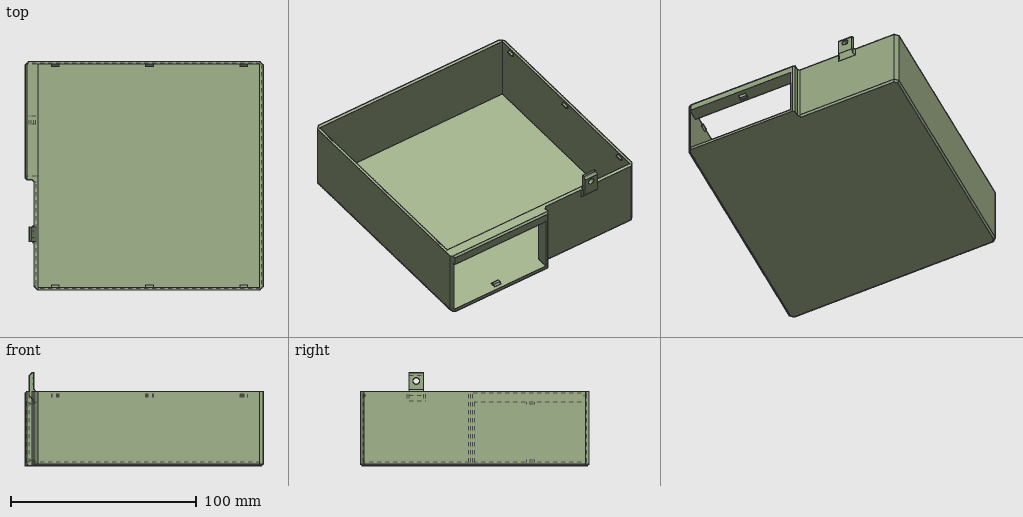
import cadquery as cq

length = 128.2
width = 123.2
tab_top = 50.1
box_height = 40.1

side_wall = 2.0
end_wall = 1.5
floor = 2.0
corner_chamfer = 2.0
edge_chamfer = 1.0

block_depth = 4.7
block_width = 63.8
opening_width = 60.1
opening_top = 34.4

ridge_length = 4.1
ridge_height = 1.2
wall_ridge_base = 1.8
wall_ridge_crest = 0.4
wall_ridge_drop = 2.3
opening_ridge_base = 3.3
opening_ridge_crest = 1.5
opening_ridge_x = 3.8
first_ridge_x = 16.2
ridge_pitch = 50.8
ridges_per_wall = 3

tab_width = 8.0
tab_thickness = 2.5
tab_y = 30.1
tab_overlap = 2.3
tab_slope_drop = 3.0
tab_lip_height = 0.5
tab_lip_depth = 0.4
tab_hole_diameter = 3.5
tab_hole_height = 5.5

inner_left = block_depth + side_wall
block_front = width - block_width
opening_back = width - end_wall
opening_y = opening_back - opening_width / 2
overlap = 0.6


def box(x0, x1, y0, y1, z0, z1):
    """Axis-aligned box between two corners."""
    return cq.Workplane("XY").box(x1 - x0, y1 - y0, z1 - z0, centered=False).translate((x0, y0, z0))


def make_body():
    """Main block with broken vertical corners and broken bottom edges."""
    body = box(block_depth, length, 0, width, 0, box_height)
    return body.edges("|Z").chamfer(corner_chamfer).faces("<Z").edges().chamfer(edge_chamfer)


def make_block():
    """Left block with broken outer edges and a sloped transition to the wall."""
    outline = [
        (inner_left, width),
        (corner_chamfer, width),
        (0, width - corner_chamfer),
        (0, block_front + edge_chamfer),
        (edge_chamfer, block_front),
        (block_depth - edge_chamfer, block_front),
        (block_depth, block_front - edge_chamfer),
        (inner_left, block_front - edge_chamfer),
    ]
    block = cq.Workplane("XY").polyline(outline).close().extrude(box_height)
    top_cut = [
        (0, box_height - edge_chamfer),
        (edge_chamfer, box_height),
        (0, box_height),
    ]
    top_break = cq.Workplane("XZ").polyline(top_cut).close().extrude(-width)
    bottom_cut = [
        (width, 0),
        (width - edge_chamfer, 0),
        (width, edge_chamfer),
    ]
    bottom_break = cq.Workplane("YZ").polyline(bottom_cut).close().extrude(inner_left)
    return block.cut(top_break).cut(bottom_break)


def make_ridge(base, crest):
    """Trapezoid ridge along X, centred on the origin and rising toward +Z."""
    profile = [
        (-base / 2, -overlap),
        (-base / 2, 0),
        (-crest / 2, ridge_height),
        (crest / 2, ridge_height),
        (base / 2, 0),
        (base / 2, -overlap),
    ]
    return cq.Workplane("YZ").polyline(profile).close().extrude(ridge_length / 2, both=True)


def make_tab():
    """Upright tab with a sloped underside, flared sides and a foot on the wall top."""
    front = block_depth - tab_thickness
    back = block_depth
    root = back + edge_chamfer
    flare_start = back - edge_chamfer
    under = box_height - tab_overlap
    shoulder = tab_top - tab_lip_height
    side = [
        (front, under),
        (front, shoulder - edge_chamfer),
        (front + edge_chamfer, shoulder),
        (front + edge_chamfer + tab_lip_depth, tab_top),
        (back, tab_top),
        (back, box_height + edge_chamfer),
        (root, box_height),
        (root, under - tab_slope_drop),
        (back, under - tab_slope_drop),
    ]
    half = tab_width / 2
    flared_half = half + edge_chamfer
    plan = [
        (front, -half),
        (flare_start, -half),
        (back, -flared_half),
        (root, -flared_half),
        (root, flared_half),
        (back, flared_half),
        (flare_start, half),
        (front, half),
    ]
    profile = cq.Workplane("XZ").polyline(side).close().extrude(flared_half, both=True)
    flared = cq.Workplane("XY").polyline(plan).close().extrude(box_height)
    upright = box(front, root, -half, half, 0, tab_top)
    hole = (
        cq.Workplane("YZ")
        .center(0, box_height + tab_hole_height)
        .circle(tab_hole_diameter / 2)
        .extrude(inner_left)
    )
    return profile.intersect(flared.union(upright)).cut(hole).translate((0, tab_y, 0))


result = make_body().union(make_block())
result = result.cut(box(inner_left, length - side_wall, end_wall, width - end_wall, floor, tab_top))
result = result.cut(box(0, inner_left, opening_back - opening_width, opening_back, floor, opening_top))

ridge_z = box_height - wall_ridge_drop
wall_ridge = make_ridge(wall_ridge_base, wall_ridge_crest)
for i in range(ridges_per_wall):
    ridge_x = first_ridge_x + i * ridge_pitch
    front_ridge = wall_ridge.rotate((0, 0, 0), (1, 0, 0), -90).translate((ridge_x, end_wall, ridge_z))
    back_ridge = wall_ridge.rotate((0, 0, 0), (1, 0, 0), 90).translate((ridge_x, width - end_wall, ridge_z))
    result = result.union(front_ridge).union(back_ridge)

floor_ridge = make_ridge(opening_ridge_base, opening_ridge_crest).rotate((0, 0, 0), (0, 0, 1), 90)
ceiling_ridge = floor_ridge.rotate((0, 0, 0), (1, 0, 0), 180)
result = result.union(floor_ridge.translate((opening_ridge_x, opening_y, floor)))
result = result.union(ceiling_ridge.translate((opening_ridge_x, opening_y, opening_top)))

result = result.union(make_tab())